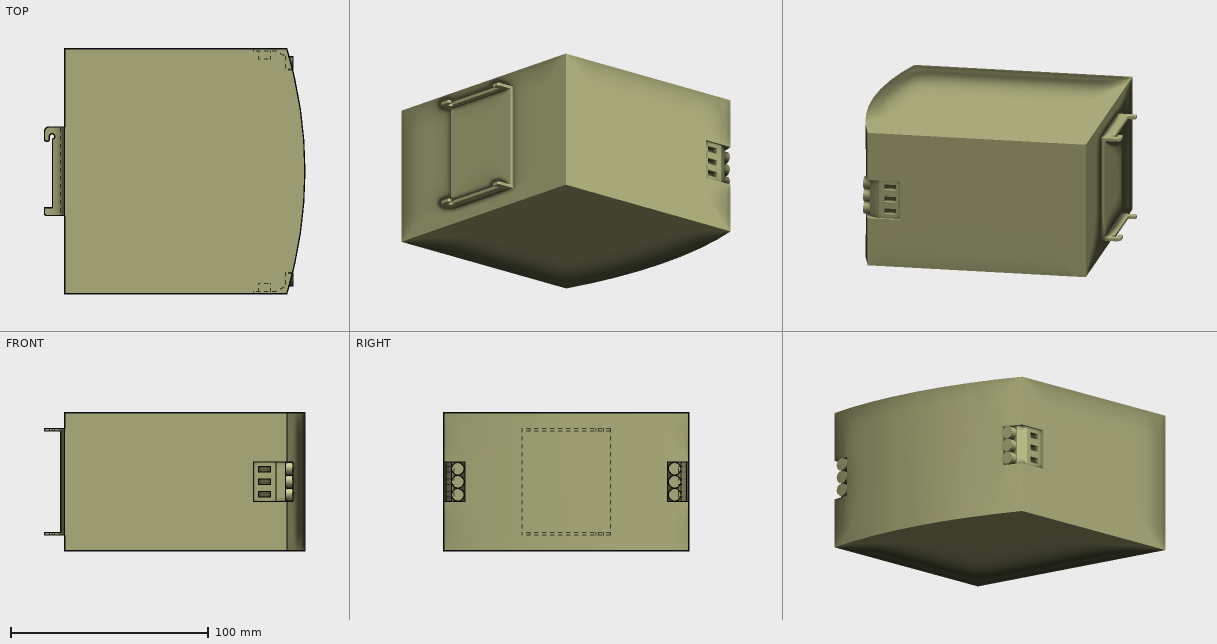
import cadquery as cq
import math

overall_length = 132.0
body_width = 124.3
body_height = 70.0
back_x = 10.2
side_end_x = 122.8

bracket_width = 45.0
bracket_height = 54.1
plate_thickness = 2.0
flange_thickness = 1.5
web_x = 4.0
hook_reach = 7.4
hook_thickness = 2.5
hook_corner_radius = 2.4
hook_tip_radius = 1.0
relief_radius = 1.3
relief_depth = 4.9
foot_width = 4.1
foot_corner_radius = 1.0

terminal_height = 20.0
terminal_x = 106.0
panel_depth = 1.3
slope_x = 117.2
screw_face_x = 122.2
screw_face_depth = 4.0
recess_depth = 10.8
screw_pitch = 6.6
terminal_count = 3
screw_diameter = 6.3
screw_length = 3.7
screw_axis_depth = 7.3

entry_x = 108.5
entry_length = 6.1
entry_height = 2.9
entry_depth = 4.0
entry_pitch = 6.3

half_width = body_width / 2
half_bracket = bracket_width / 2


def make_housing():
    return (
        cq.Workplane("XY", origin=(0, 0, -body_height / 2))
        .moveTo(back_x, -half_width)
        .lineTo(side_end_x, -half_width)
        .threePointArc((overall_length, 0), (side_end_x, half_width))
        .lineTo(back_x, half_width)
        .close()
        .extrude(body_height)
    )


def make_flange(bottom_z):
    """Flat hooked flange: hook at the +Y end, short foot at the -Y end."""
    hook_tip_y = half_bracket - hook_reach
    relief_y = half_bracket - relief_depth
    relief_x = hook_thickness + relief_radius
    relief_exit_y = relief_y - math.sqrt(relief_radius**2 - (relief_x - web_x) ** 2)
    foot_y = foot_width - half_bracket
    flange = (
        cq.Workplane("XY", origin=(0, 0, bottom_z))
        .moveTo(back_x, half_bracket)
        .lineTo(0, half_bracket)
        .lineTo(0, hook_tip_y)
        .lineTo(hook_thickness, hook_tip_y)
        .lineTo(hook_thickness, relief_y)
        .threePointArc((relief_x + relief_radius, relief_y), (web_x, relief_exit_y))
        .lineTo(web_x, foot_y)
        .lineTo(0, foot_y)
        .lineTo(0, -half_bracket)
        .lineTo(back_x, -half_bracket)
        .close()
        .extrude(flange_thickness)
    )
    middle_z = bottom_z + flange_thickness / 2

    def round_edge(solid, x, y, radius):
        return solid.edges(cq.selectors.NearestToPointSelector((x, y, middle_z))).fillet(radius)

    flange = round_edge(flange, 0, half_bracket, hook_corner_radius)
    flange = round_edge(flange, 0, hook_tip_y, hook_tip_radius)
    flange = round_edge(flange, hook_thickness, hook_tip_y, hook_tip_radius)
    return round_edge(flange, 0, -half_bracket, foot_corner_radius)


def make_bracket():
    plate = cq.Workplane("XY", origin=(back_x - plate_thickness, 0, 0)).box(
        plate_thickness, bracket_width, bracket_height, centered=(False, True, True)
    )
    lower = make_flange(-bracket_height / 2)
    upper = make_flange(bracket_height / 2 - flange_thickness)
    return plate.union(lower).union(upper)


def terminal_levels(pitch):
    """Heights of the terminals, centred on the housing."""
    middle = (terminal_count - 1) / 2
    return [(i - middle) * pitch for i in range(terminal_count)]


def make_terminal_recess():
    """Space removed at the -Y front corner: stepped recess plus wire entries."""
    recess = (
        cq.Workplane("XY", origin=(0, -half_width, -terminal_height / 2))
        .polyline([
            (terminal_x, 0),
            (terminal_x, panel_depth),
            (slope_x, panel_depth),
            (screw_face_x, screw_face_depth),
            (screw_face_x, recess_depth),
            (overall_length, recess_depth),
            (overall_length, 0),
        ])
        .close()
        .extrude(terminal_height)
    )
    for z in terminal_levels(entry_pitch):
        entry = cq.Workplane("XY", origin=(entry_x, -half_width, z)).box(
            entry_length, panel_depth + entry_depth, entry_height, centered=(False, False, True)
        )
        recess = recess.union(entry)
    return recess


def make_screws():
    return (
        cq.Workplane("YZ", origin=(screw_face_x, 0, 0))
        .pushPoints([(screw_axis_depth - half_width, z) for z in terminal_levels(screw_pitch)])
        .circle(screw_diameter / 2)
        .extrude(screw_length)
    )


recess = make_terminal_recess()
screws = make_screws()

result = make_housing().union(make_bracket())
result = result.cut(recess).cut(recess.mirror("XZ"))
result = result.union(screws).union(screws.mirror("XZ"))